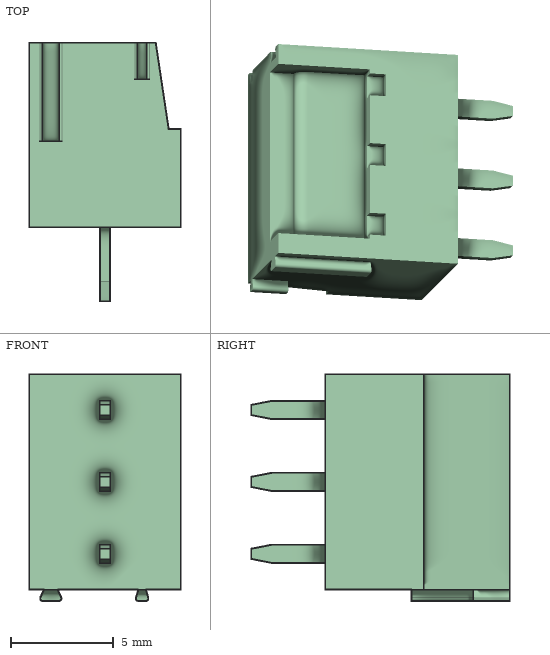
import cadquery as cq
import math


width = 7.4
body_length = 9.0
body_height = 10.5
back_width = 6.17
slope_foot = 6.8
slope_length = 4.2

pin_count = 3
pin_pitch = 3.5
pin_thickness = 0.5
pin_height = 0.9
pin_length = 3.6
tip_height = 0.5
tip_length = 1.0

wall = 1.0
window_length = 4.6
window_depth = 1.2
entry_length = 1.2
entry_depth = 1.75
entry_radius = entry_depth - window_depth

notch_length = 0.8
notch_height = 1.1
notch_depth = 0.6

rail_height = 0.55
rail_radius = 0.13
lip_radius = 0.13
wide = {"x": 1.06, "neck": 0.34, "foot": 0.59, "length": 4.8}
narrow = {"x": 5.5, "neck": 0.19, "foot": 0.35, "length": 1.78}

pin_levels = [body_height / 2 + (i - (pin_count - 1) / 2) * pin_pitch for i in range(pin_count)]


def housing():
    return (
        cq.Workplane("XY")
        .polyline([
            (0, 0),
            (width, 0),
            (width, body_length - slope_length),
            (slope_foot, body_length - slope_length),
            (back_width, body_length),
            (0, body_length),
        ])
        .close()
        .extrude(body_height)
    )


def pin(level):
    half, half_tip = pin_height / 2, tip_height / 2
    return (
        cq.Workplane("YZ", origin=((width - pin_thickness) / 2, 0, level))
        .polyline([
            (0, -half),
            (0, half),
            (tip_length - pin_length, half),
            (-pin_length, half_tip),
            (-pin_length, -half_tip),
            (tip_length - pin_length, -half),
        ])
        .close()
        .extrude(pin_thickness)
    )


def window():
    """Recess whose floor steps down, over a rounded edge, towards the back face."""
    step_y = body_length - entry_length
    return (
        cq.Workplane("XY", origin=(0, 0, wall))
        .moveTo(0, body_length - window_length)
        .lineTo(window_depth, body_length - window_length)
        .lineTo(window_depth, step_y - entry_radius)
        .radiusArc((entry_depth, step_y), entry_radius)
        .lineTo(entry_depth, body_length)
        .lineTo(0, body_length)
        .close()
        .extrude(body_height - 2 * wall)
    )


def notch(level):
    return (
        cq.Workplane("XY")
        .box(notch_depth, notch_length, notch_height, centered=(False, False, True))
        .translate((0, body_length - window_length - notch_length, level))
    )


def dovetail(shape, top):
    """Dovetail bar hanging from the given level, flush with the back face."""
    neck, foot = shape["neck"], shape["foot"]
    return (
        cq.Workplane("XZ", origin=(shape["x"], body_length, top))
        .polyline([(-neck, 0), (neck, 0), (foot, -rail_height), (-foot, -rail_height)])
        .close()
        .extrude(shape["length"])
    )


def rail(shape):
    return dovetail(shape, 0).edges("|Y and <Z").fillet(rail_radius)


def lip_cut(shape, side):
    """Removes the sharp lip of a groove, leaving a round one."""
    neck = shape["neck"]
    lean = math.atan2(shape["foot"] - shape["neck"], rail_height)
    reach = lip_radius / math.tan((math.pi / 2 - lean) / 2)
    touch_x = neck + reach * math.sin(lean)
    touch_z = -reach * math.cos(lean)
    return (
        cq.Workplane("XZ", origin=(shape["x"], body_length, body_height))
        .moveTo(side * (neck + reach), 0)
        .radiusArc((side * touch_x, touch_z), -side * lip_radius)
        .lineTo(0, touch_z)
        .lineTo(0, 0)
        .close()
        .extrude(shape["length"])
    )


result = housing().cut(window())
for level in pin_levels:
    result = result.cut(notch(level)).union(pin(level))
for shape in (wide, narrow):
    result = result.cut(dovetail(shape, body_height))
    for side in (-1, 1):
        result = result.cut(lip_cut(shape, side))
    result = result.union(rail(shape))